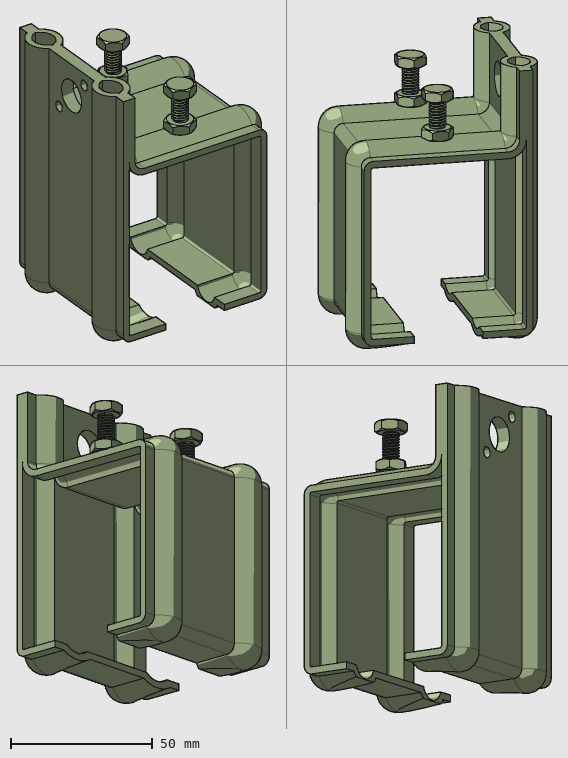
import cadquery as cq
import math


width = 65.0
double_wall = 5.0
sheet = double_wall / 2
rib_height = 4.0
rib_radius = 8.0
rib_spacing = 42.0
rib_centers = (-rib_spacing / 2, rib_spacing / 2)
rib_axis_depth = rib_radius - rib_height
rib_half = math.sqrt(rib_radius**2 - rib_axis_depth**2)
groove_half = math.sqrt((rib_radius - sheet)**2 - (rib_axis_depth - sheet)**2)

height = 101.8 - rib_height
depth = 69.1 - 2 * rib_height
shelf_height = 68.2
lip_length = 18.1
corner_inner_radius = 0.8
corner_radius = corner_inner_radius + sheet
shelf_bend_radius = 4.1
lip_end_rib_height = 1.8

main_hole_diameter = 12.5
pin_hole_diameter = 4.0
hole_drop = 12.6
pin_offset = 7.8

bolt_y = 32.0
hex_across_flats = 10.2
hex_height = 4.0
hex_bevel_rise = 0.7
hex_face_diameter = 9.7
nut_sink = 0.5
nut_bottom = shelf_height + rib_height - nut_sink
nut_top = nut_bottom + hex_height
bolt_top = 89.9
head_bottom = bolt_top - hex_height
thread_diameter = 6.0
thread_root_diameter = 5.0
thread_pitch = 1.0
thread_base = 0.9
thread_overlap = 0.1


def lip_section(y, rise=rib_height):
    """Ribbed sheet profile across a lip, with its ribs pointing down."""
    profile = cq.Workplane("XZ", origin=(0, y, 0)).moveTo(-width / 2, 0)
    for x in rib_centers:
        profile = profile.lineTo(x - rib_half, 0)
        profile = profile.threePointArc((x, -rise), (x + rib_half, 0))
    profile = profile.lineTo(width / 2, 0).lineTo(width / 2, sheet)
    for x in reversed(rib_centers):
        profile = profile.lineTo(x + groove_half, sheet)
        profile = profile.threePointArc((x, sheet - rise), (x - groove_half, sheet))
    return profile.lineTo(-width / 2, sheet).close()


def front_sheet():
    """Front wall and lower bend, with a lip whose ribs flatten towards its end."""
    path = (
        cq.Workplane("YZ")
        .moveTo(corner_radius, 0)
        .radiusArc((0, corner_radius), corner_radius)
        .lineTo(0, height)
    )
    wall = lip_section(corner_radius).sweep(path)
    bend_wire = lip_section(corner_radius).wire().val()
    end_wire = lip_section(lip_length, lip_end_rib_height).wire().val()
    lip = cq.Workplane(cq.Solid.makeLoft([bend_wire, end_wire], True))
    return wall.union(lip)


def rear_sheet():
    """Rear lip, rear wall, shelf and the flange doubling the upper front wall."""
    path = (
        cq.Workplane("YZ")
        .moveTo(depth - lip_length, 0)
        .lineTo(depth - corner_radius, 0)
        .radiusArc((depth, corner_radius), -corner_radius)
        .lineTo(depth, shelf_height - corner_radius)
        .radiusArc((depth - corner_radius, shelf_height), -corner_radius)
        .lineTo(double_wall + shelf_bend_radius, shelf_height)
        .radiusArc((double_wall, shelf_height + shelf_bend_radius), shelf_bend_radius)
        .lineTo(double_wall, height)
    )
    return lip_section(depth - lip_length).sweep(path)


def rear_lip_planing():
    """Wedge below the rear lip that planes its ribs down towards the lip end."""
    bend_y = depth - corner_radius
    end_y = depth - lip_length
    return (
        cq.Workplane("YZ")
        .polyline([(bend_y, -rib_height), (end_y, -rib_height), (end_y, -lip_end_rib_height)])
        .close()
        .extrude(width / 2, both=True)
    )


def wall_hole(x, z, diameter, hole_depth):
    """Hole bored from the front face of the front wall."""
    return (
        cq.Workplane("XZ")
        .center(x, z)
        .circle(diameter / 2)
        .extrude(-hole_depth)
    )


def hex_block(x, bottom, turn):
    """Hexagon with both ends bevelled; a turn of 0 puts corners on the X axis."""
    hex_radius = hex_across_flats / math.sqrt(3)
    face_radius = hex_face_diameter / 2
    prism = (
        cq.Workplane("XY")
        .polygon(6, 2 * hex_radius)
        .extrude(hex_height)
        .rotate((0, 0, 0), (0, 0, 1), turn)
    )
    bevel_envelope = (
        cq.Workplane("XZ")
        .polyline([
            (0, 0),
            (face_radius, 0),
            (hex_radius, hex_bevel_rise),
            (hex_radius, hex_height - hex_bevel_rise),
            (face_radius, hex_height),
            (0, hex_height),
        ])
        .close()
        .revolve(360, (0, 0), (0, 1))
    )
    return prism.intersect(bevel_envelope).translate((x, bolt_y, bottom))


def threaded_shank(x):
    """Shank with a helical V thread, from inside the nut up into the head."""
    root = thread_root_diameter / 2
    crest = thread_diameter / 2
    thread_bottom = nut_top - thread_pitch
    thread_length = head_bottom - thread_bottom
    core = cq.Workplane("XY").circle(root).extrude(bolt_top - hex_height / 2 - nut_bottom)
    core = core.translate((0, 0, nut_bottom))
    helix = cq.Workplane(cq.Wire.makeHelix(thread_pitch, thread_length, root))
    half_base = thread_base / 2
    thread = (
        cq.Workplane("XZ")
        .polyline([(root - thread_overlap, -half_base), (crest, 0), (root - thread_overlap, half_base)])
        .close()
        .sweep(helix, isFrenet=True)
        .translate((0, 0, thread_bottom))
    )
    return core.union(thread).translate((x, bolt_y, 0))


bracket = front_sheet().union(rear_sheet().cut(rear_lip_planing()))

hole_z = height - hole_drop
bracket = bracket.cut(wall_hole(0, hole_z, main_hole_diameter, double_wall))
for side in (-1, 1):
    pin_z = hole_z + side * pin_offset
    bracket = bracket.cut(wall_hole(side * pin_offset, pin_z, pin_hole_diameter, sheet))

nut_turns = (30, 0)
for bolt_x, nut_turn in zip(rib_centers, nut_turns):
    bracket = bracket.union(hex_block(bolt_x, nut_bottom, nut_turn))
    bracket = bracket.union(threaded_shank(bolt_x))
    bracket = bracket.union(hex_block(bolt_x, head_bottom, 0))

result = bracket